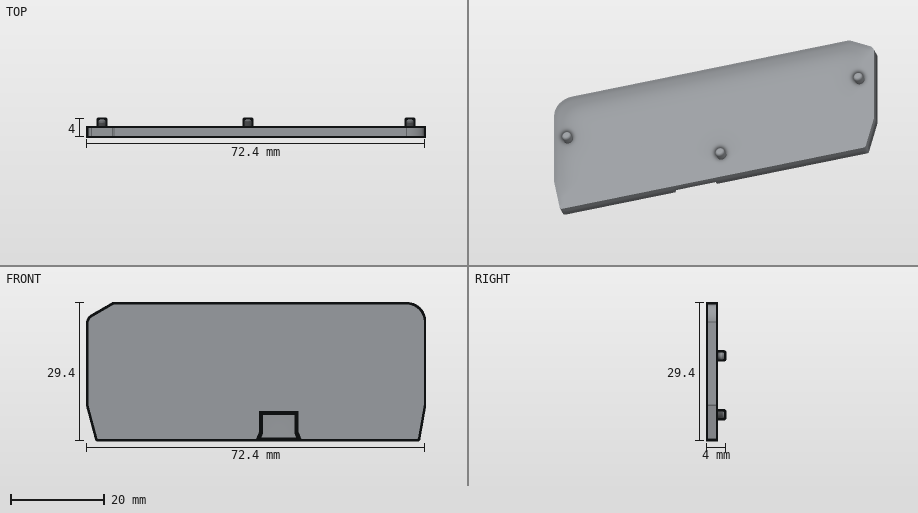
import cadquery as cq
import math

length = 72.4
height = 29.4
overall_depth = 4.0
plate_thickness = 2.2

taper_height = 7.5
left_taper_angle = 15.0
right_taper_angle = 10.0

top_left_bevel_length = 5.6
top_left_bevel_angle = 30.0
top_right_radius = 4.0
bevel_lower_radius = 2.0
bevel_upper_radius = 0.5
taper_radius = 0.5
bottom_corner_radius = 0.5

pin_diameter = 2.0
pin_tip_radius = 0.5
pin_centres = [(3.2, 18.1), (34.45, 5.5), (69.15, 18.1)]

recess_centre_x = 41.05
recess_width = 8.0
recess_height = 6.1
recess_flare = 0.7
recess_flare_height = 1.7
pad_setback = 0.3
pad_height = 0.4
pad_side_inset = 0.4
recess_depth = pad_setback + pad_height


def inset_taper(angle):
    return taper_height * math.tan(math.radians(angle))


def round_corner(plate, x, z, radius):
    """Round the plate edge that runs along Y through (x, z)."""
    reach = 0.01
    corner = cq.selectors.BoxSelector(
        (x - reach, -reach, z - reach),
        (x + reach, plate_thickness + reach, z + reach),
    )
    return plate.edges("|Y").edges(corner).fillet(radius)


def make_plate():
    bevel_drop = top_left_bevel_length * math.tan(math.radians(top_left_bevel_angle))
    corners = [
        (inset_taper(left_taper_angle), 0, bottom_corner_radius),
        (length - inset_taper(right_taper_angle), 0, bottom_corner_radius),
        (length, taper_height, taper_radius),
        (length, height, top_right_radius),
        (top_left_bevel_length, height, bevel_upper_radius),
        (0, height - bevel_drop, bevel_lower_radius),
        (0, taper_height, taper_radius),
    ]
    outline = [(x, z) for x, z, _ in corners]
    plate = cq.Workplane("XZ").polyline(outline).close().extrude(-plate_thickness)
    for x, z, radius in corners:
        plate = round_corner(plate, x, z, radius)
    return plate


def make_pin(x, z):
    pin_length = overall_depth - plate_thickness
    back_face = cq.Workplane("XZ", origin=(x, plate_thickness, z))
    pin = back_face.circle(pin_diameter / 2).extrude(-pin_length)
    return pin.faces(">Y").edges().fillet(pin_tip_radius)


def recess_outline(depth):
    """Recess outline, flared towards the bottom edge, on the plane at the given depth."""
    half_width = recess_width / 2
    half_mouth = half_width + recess_flare
    right_side = [
        (half_mouth, 0),
        (half_width, recess_flare_height),
        (half_width, recess_height),
    ]
    left_side = [(-x, z) for x, z in reversed(right_side)]
    plane = cq.Workplane("XZ", origin=(recess_centre_x, depth, 0))
    return plane.polyline(right_side + left_side).close()


def make_recess():
    return recess_outline(0).extrude(-recess_depth)


def make_pad():
    """Pad that fills the recess floor and slopes inwards on every side as it rises."""
    side_slope = math.degrees(math.atan2(pad_side_inset, pad_height))
    return recess_outline(recess_depth).extrude(pad_height, taper=side_slope)


result = make_plate().cut(make_recess()).union(make_pad())
for pin_x, pin_z in pin_centres:
    result = result.union(make_pin(pin_x, pin_z))